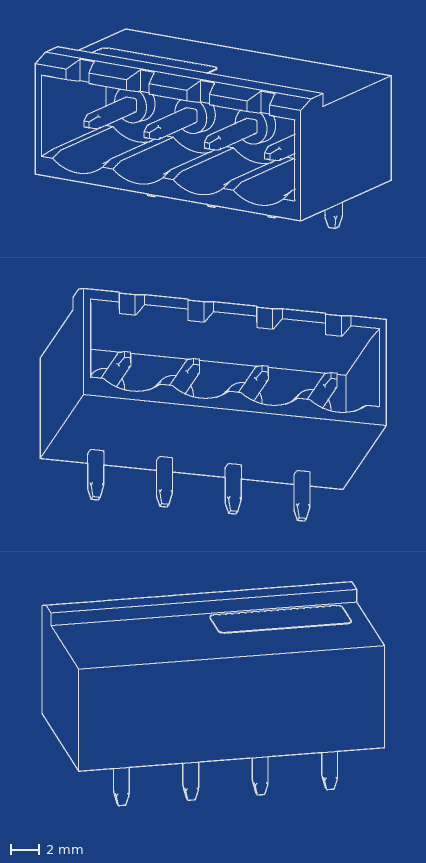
import cadquery as cq


pin_count = 4
pin_pitch = 5.0
pin_xs = [(i - (pin_count - 1) / 2) * pin_pitch for i in range(pin_count)]

housing_length = 22.0
housing_depth = 12.0
housing_height = 8.6
rear_height = 7.65
lip_depth = 2.97
lip_slope_depth = 1.36
lip_slope_drop = 0.5

pin_width = 1.01
pin_corner_radius = 0.2
contact_tip_width = 0.45
leg_tip_width = 0.53
pin_tip_length = 1.0
pin_axis_z = 3.9
pin_front_y = 1.19
pin_leg_y = 9.97
pin_bottom_z = -3.48

cavity_side_wall = 0.84
cavity_floor_z = 1.72
cavity_roof_z = 7.0
cavity_depth = 8.0
scallop_half_width = 2.07
scallop_bottom_z = 0.92
mouth_scallop_bottom_z = 0.64
mouth_flare = 0.33
mouth_depth = 1.08

notch_depth = 1.25
notch_front_width = 1.87
notch_back_width = 1.15

boss_base_radius = 1.4
boss_tip_radius = 1.32
boss_height = 1.0

pad_length = 9.55
pad_width = 3.65
pad_left_margin = 1.23
pad_front_y = 3.48
pad_corner_radius = 0.45
pad_thickness = 0.07


def facing_back(y):
    """Workplane at depth y whose normal points to +Y; local axes are -X and Z."""
    return cq.Workplane(cq.Plane(origin=(0, y, 0), xDir=(-1, 0, 0), normal=(0, 1, 0)))


def housing_block():
    """Side outline with the raised, sloped front lip, extruded along the row."""
    outline = [
        (0, 0),
        (housing_depth, 0),
        (housing_depth, rear_height),
        (lip_depth, rear_height),
        (lip_depth, housing_height),
        (lip_slope_depth, housing_height),
        (0, housing_height - lip_slope_drop),
    ]
    return cq.Workplane("YZ").polyline(outline).close().extrude(housing_length / 2, both=True)


def cavity_outline(y, growth, scallop_z):
    """Cavity cross-section at depth y: walls grown outwards, scallops reaching down to scallop_z."""
    half_length = housing_length / 2 - cavity_side_wall + growth
    floor_z = cavity_floor_z - growth
    roof_z = cavity_roof_z + growth

    outline = facing_back(y).moveTo(-half_length, roof_z).lineTo(-half_length, floor_z)
    for x in pin_xs:
        outline = (
            outline.lineTo(x - scallop_half_width, floor_z)
            .threePointArc((x, scallop_z), (x + scallop_half_width, floor_z))
        )
    return outline.lineTo(half_length, floor_z).lineTo(half_length, roof_z).close()


def cavity():
    straight = cavity_outline(0, 0, scallop_bottom_z).extrude(cavity_depth)
    mouth_front = cavity_outline(0, mouth_flare, mouth_scallop_bottom_z).wires().val()
    mouth_back = cavity_outline(mouth_depth, 0, scallop_bottom_z).wires().val()
    mouth = cq.Solid.makeLoft([mouth_front, mouth_back], True)
    return straight.union(cq.Workplane(mouth))


def notch(x):
    """Wedge that narrows towards the back and opens the lip into the cavity."""
    plan = [
        (x - notch_front_width / 2, 0),
        (x + notch_front_width / 2, 0),
        (x + notch_back_width / 2, notch_depth),
        (x - notch_back_width / 2, notch_depth),
    ]
    notch_height = housing_height - pin_axis_z
    return cq.Workplane("XY", origin=(0, 0, pin_axis_z)).polyline(plan).close().extrude(notch_height)


def boss(x):
    """Cone frustum standing on the cavity's back wall."""
    return cq.Workplane(
        cq.Solid.makeCone(
            boss_base_radius,
            boss_tip_radius,
            boss_height,
            pnt=cq.Vector(x, cavity_depth, pin_axis_z),
            dir=cq.Vector(0, -1, 0),
        )
    )


def label_pad():
    center_x = -housing_length / 2 + pad_left_margin + pad_length / 2
    center_y = pad_front_y + pad_width / 2
    return (
        cq.Workplane("XY", origin=(center_x, center_y, rear_height))
        .rect(pad_length, pad_width)
        .extrude(pad_thickness)
        .edges("|Z")
        .fillet(pad_corner_radius)
    )


def pointed_bar(length, tip_width):
    """Round-cornered square bar along Z with a pyramid tip at Z = 0."""
    bar = cq.Workplane("XY").rect(pin_width, pin_width).extrude(length)
    bar = bar.edges("|Z").fillet(pin_corner_radius)
    tip = (
        cq.Workplane("XY")
        .rect(tip_width, tip_width)
        .workplane(offset=pin_tip_length)
        .rect(pin_width, pin_width)
        .loft(ruled=True)
    )
    shank = (
        cq.Workplane("XY", origin=(0, 0, pin_tip_length))
        .rect(pin_width, pin_width)
        .extrude(length - pin_tip_length)
    )
    return bar.intersect(tip.union(shank))


def contact_pin(x):
    """Right-angle pin: a contact along Y and a solder leg down through the underside."""
    contact_length = pin_leg_y + pin_width / 2 - pin_front_y
    leg_length = pin_axis_z + pin_width / 2 - pin_bottom_z
    contact = (
        pointed_bar(contact_length, contact_tip_width)
        .rotate((0, 0, 0), (1, 0, 0), -90)
        .translate((x, pin_front_y, pin_axis_z))
    )
    leg = pointed_bar(leg_length, leg_tip_width).translate((x, pin_leg_y, pin_bottom_z))
    return contact.union(leg)


pins = [contact_pin(x) for x in pin_xs]

housing = housing_block().cut(cavity()).union(label_pad())
for pin_x, pin in zip(pin_xs, pins):
    housing = housing.cut(notch(pin_x)).union(boss(pin_x)).cut(pin)

result = cq.Compound.makeCompound([housing.solids().val(), *[pin.solids().val() for pin in pins]])